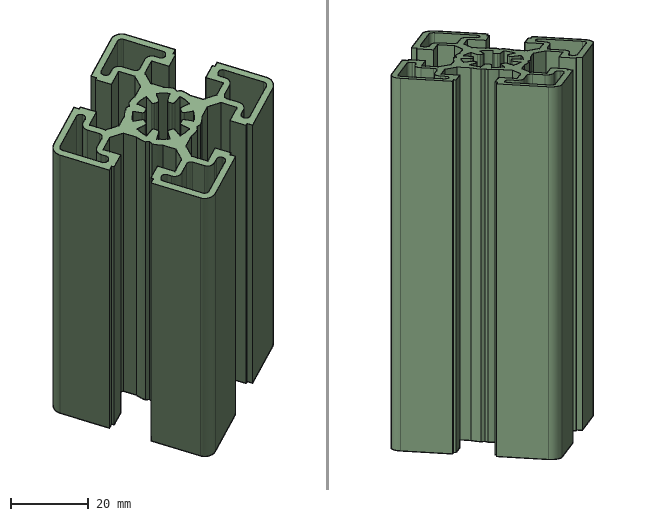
import cadquery as cq
import math

LENGTH = 100.0
SIDE = 45.0
CORNER_RADIUS = 3.0
WALL = 1.8
OVERCUT = 1.0

MOUTH_HALF = 5.8
NECK_HALF = 5.1
STEP_DEPTH = 1.5
CHANNEL_HALF = 10.0
LIP_UNDERSIDE = 16.5
CORE_HALF = 9.3
WEB_OFFSET = 2.0

POCKET_END = 7.4
POCKET_TIP_RADIUS = 1.1
BEND_RADIUS = 2.0
INNER_BEND_RADIUS = 1.2

CORE_RADIUS = 10.0
GROOVE_HALF = 1.0
GROOVE_BOTTOM = 9.4
BORE_RADIUS = 8.0
TOOTH_COUNT = 8
TOOTH_TIP = 5.0
TOOTH_BASE_HALF = 1.4
TOOTH_TIP_HALF = 0.9
TOOTH_TIP_RADIUS = 0.6

HALF = SIDE / 2
SLOT_COUNT = 4


def prism(points):
    """Extrude a closed outline over the full length."""
    return cq.Workplane("XY").polyline(points).close().extrude(LENGTH)


def cylinder(radius):
    return cq.Workplane("XY").circle(radius).extrude(LENGTH)


def mirrored(half_outline):
    """Complete an outline that is symmetric about the Y axis."""
    return half_outline + [(-x, y) for x, y in reversed(half_outline)]


def round_corners(body, corners, radius):
    """Fillet the lengthwise edges that pass through the given corner points."""
    for x, y in corners:
        edge = cq.selectors.NearestToPointSelector((x, y, LENGTH / 2))
        body = body.edges("|Z").edges(edge).fillet(radius)
    return body


def turned(body, index, count):
    return body.rotate((0, 0, 0), (0, 0, 1), index * 360 / count)


def make_slot():
    """T-slot on the +Y side, with the round core left standing in its floor."""
    outline = mirrored([
        (MOUTH_HALF, HALF + OVERCUT),
        (MOUTH_HALF, HALF - STEP_DEPTH),
        (NECK_HALF, HALF - STEP_DEPTH),
        (NECK_HALF, LIP_UNDERSIDE),
        (CHANNEL_HALF, LIP_UNDERSIDE),
        (CHANNEL_HALF, CHANNEL_HALF + WEB_OFFSET),
        (CORE_HALF - WEB_OFFSET, CORE_HALF),
    ])
    groove = prism([
        (-GROOVE_HALF, CORE_RADIUS),
        (0, GROOVE_BOTTOM),
        (GROOVE_HALF, CORE_RADIUS),
    ])
    return prism(outline).cut(cylinder(CORE_RADIUS)).union(groove)


def make_cavity():
    """Hollow of the +X +Y corner: a square room with a pocket behind each slot lip."""
    outer = HALF - WALL
    lip = LIP_UNDERSIDE + WALL
    inner = CHANNEL_HALF + WALL
    body = prism([
        (outer, outer),
        (POCKET_END, outer),
        (POCKET_END, lip),
        (inner, lip),
        (inner, inner),
        (lip, inner),
        (lip, POCKET_END),
        (outer, POCKET_END),
    ])
    tips = [(POCKET_END, outer), (POCKET_END, lip), (lip, POCKET_END), (outer, POCKET_END)]
    body = round_corners(body, tips, POCKET_TIP_RADIUS)
    body = round_corners(body, [(inner, lip), (lip, inner)], BEND_RADIUS)
    body = round_corners(body, [(inner, inner)], INNER_BEND_RADIUS)
    return round_corners(body, [(outer, outer)], CORNER_RADIUS - WALL)


def make_tooth():
    """Tapered tooth pointing from the +Y side of the bore toward the centre."""
    root = (CORE_RADIUS + BORE_RADIUS) / 2
    base = math.sqrt(BORE_RADIUS ** 2 - TOOTH_BASE_HALF ** 2)
    tooth = prism(mirrored([
        (TOOTH_BASE_HALF, root),
        (TOOTH_BASE_HALF, base),
        (TOOTH_TIP_HALF, TOOTH_TIP),
    ]))
    tips = [(TOOTH_TIP_HALF, TOOTH_TIP), (-TOOTH_TIP_HALF, TOOTH_TIP)]
    return round_corners(tooth, tips, TOOTH_TIP_RADIUS)


def make_bore():
    bore = cylinder(BORE_RADIUS)
    tooth = make_tooth()
    for index in range(TOOTH_COUNT):
        bore = bore.cut(turned(tooth, index, TOOTH_COUNT))
    return bore


bar = cq.Workplane("XY").rect(SIDE, SIDE).extrude(LENGTH).edges("|Z").fillet(CORNER_RADIUS)
slot = make_slot()
cavity = make_cavity()
for side in range(SLOT_COUNT):
    bar = bar.cut(turned(slot, side, SLOT_COUNT))
    bar = bar.cut(turned(cavity, side, SLOT_COUNT))

result = bar.cut(make_bore()).translate((0, 0, -LENGTH / 2))